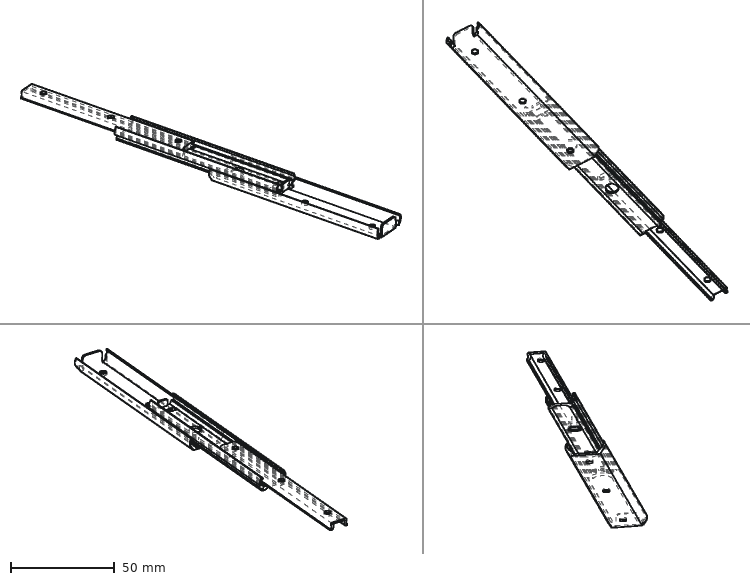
import cadquery as cq


SHEET = 1.0
HOLE_DIAMETER = 3.2
HOLE_PITCH = 40.0
HOLE_END_OFFSET = 10.0
CUT_DEPTH = 21.5

SLIDE_LENGTH = 215.5
INNER_LENGTH = 96.0
MIDDLE_START = 57.5
MIDDLE_LENGTH = 96.5
MIDDLE_END = MIDDLE_START + MIDDLE_LENGTH
OUTER_LENGTH = 100.2
OUTER_START = SLIDE_LENGTH - OUTER_LENGTH
OUTER_HOLE_START = OUTER_START + HOLE_END_OFFSET
HOLES_PER_RAIL = 3
INNER_HOLE_END = HOLE_END_OFFSET + (HOLES_PER_RAIL - 1) * HOLE_PITCH

OUTER_WEB_TOP = SHEET
MIDDLE_WEB_TOP = 5.0
MIDDLE_WEB_BOTTOM = MIDDLE_WEB_TOP - SHEET
SLIDE_HEIGHT = 10.1
INNER_WEB_BOTTOM = SLIDE_HEIGHT - SHEET

WEB_FLAT_Y = 3.7
INNER_FOOT_Y = 5.0
INNER_FOOT_BOTTOM = 6.0
MIDDLE_ARM_Y = 7.5
MIDDLE_FOOT_Y = 6.2
MIDDLE_FOOT_BOTTOM = 2.8

INNER_LIP_WIDTH = 6.5
INNER_LIP_BOTTOM = 7.3

OUTER_WIDTH = 19.5

OUTER_TAB_WIDTH = 11.2
OUTER_TAB_TOP = 7.3
OUTER_TAB_CORNER = 1.7
BEND_RADIUS = 0.5
RELIEF_LENGTH = SHEET + BEND_RADIUS
RELIEF_WIDTH = 16.0

STOP_TAB_WIDTH = 5.2
STOP_TAB_TOP = 8.5
STOP_TAB_CORNER = 0.6

DETENT_START = 147.3
DETENT_LENGTH = 2.4
GROOVE_INNER_Y = 0.5
GROOVE_VALLEY_Y = 2.4
GROOVE_OUTER_Y = 4.0
GROOVE_DEPTH = 0.6

ACCESS_DIAMETER = 6.2


def extrude_symmetric(half_section, start, length):
    """Extrude a half section (Y >= 0, closed along Y = 0) along X and mirror it."""
    half = half_section.close().extrude(length)
    return half.union(half.mirror("XZ")).translate((start, 0, 0))


def cut_holes(body, places, diameter):
    """Cut vertical round holes at the given X places on the centreline."""
    tools = (
        cq.Workplane("XY", origin=(0, 0, -CUT_DEPTH / 2))
        .pushPoints([(x, 0) for x in places])
        .circle(diameter / 2)
        .extrude(CUT_DEPTH)
    )
    return body.cut(tools)


def upright_tab(end, width, bottom, top, corner):
    """Upright sheet tab with rounded top corners whose outer face is at X = end."""
    return (
        cq.Workplane("XY")
        .box(SHEET, width, top - bottom, centered=(False, True, False))
        .translate((end - SHEET, 0, bottom))
        .edges("|X and >Z")
        .fillet(corner)
    )


def make_inner_rail():
    """Inverted channel whose flanges carry an outer ball groove above a flared foot."""
    section = (
        cq.Workplane("YZ")
        .moveTo(0, SLIDE_HEIGHT)
        .lineTo(WEB_FLAT_Y, SLIDE_HEIGHT)
        .threePointArc((4.5, 9.59), (4.5, 8.72))
        .tangentArcPoint((INNER_FOOT_Y, 6.7), relative=False)
        .lineTo(INNER_FOOT_Y, INNER_FOOT_BOTTOM)
        .lineTo(3.9, INNER_FOOT_BOTTOM)
        .threePointArc((3.0, 8.0), (3.5, INNER_WEB_BOTTOM))
        .lineTo(0, INNER_WEB_BOTTOM)
    )
    rail = extrude_symmetric(section, 0, INNER_LENGTH)
    holes = [HOLE_END_OFFSET + i * HOLE_PITCH for i in range(HOLES_PER_RAIL)]
    rail = cut_holes(rail, holes, HOLE_DIAMETER)
    end_lip = (
        cq.Workplane("XY")
        .box(SHEET, INNER_LIP_WIDTH, SLIDE_HEIGHT - INNER_LIP_BOTTOM, centered=(False, True, False))
        .translate((INNER_LENGTH - SHEET, 0, INNER_LIP_BOTTOM))
    )
    return rail.union(end_lip)


def make_detent_grooves():
    """Pair of V grooves, one on each side of the centreline, to cut from the middle web."""
    section = (
        cq.Workplane("YZ")
        .moveTo(GROOVE_INNER_Y, MIDDLE_WEB_TOP)
        .lineTo(GROOVE_VALLEY_Y, MIDDLE_WEB_TOP - GROOVE_DEPTH)
        .lineTo(GROOVE_OUTER_Y, MIDDLE_WEB_TOP)
    )
    return extrude_symmetric(section, DETENT_START, DETENT_LENGTH)


def make_middle_rail():
    """X-shaped rail: raised arms hold the inner rail, lower flanges run in the outer rail."""
    section = (
        cq.Workplane("YZ")
        .moveTo(0, MIDDLE_WEB_TOP)
        .lineTo(WEB_FLAT_Y, MIDDLE_WEB_TOP)
        .lineTo(4.5, 4.7)
        .lineTo(5.4, 6.7)
        .lineTo(6.5, 6.7)
        .threePointArc((7.0, 7.8), (6.2, 8.8))
        .lineTo(5.5, 9.5)
        .lineTo(6.2, SLIDE_HEIGHT)
        .lineTo(6.7, SLIDE_HEIGHT)
        .lineTo(7.0, 9.5)
        .threePointArc((MIDDLE_ARM_Y, 8.0), (7.3, 6.0))
        .lineTo(6.0, 5.8)
        .threePointArc((5.4, 4.5), (MIDDLE_FOOT_Y, 3.7))
        .lineTo(MIDDLE_FOOT_Y, MIDDLE_FOOT_BOTTOM)
        .lineTo(4.3, MIDDLE_FOOT_BOTTOM)
        .threePointArc((3.5, 3.5), (2.2, MIDDLE_WEB_BOTTOM))
        .lineTo(0, MIDDLE_WEB_BOTTOM)
    )
    rail = extrude_symmetric(section, MIDDLE_START, MIDDLE_LENGTH)
    rail = cut_holes(rail, [INNER_HOLE_END, OUTER_HOLE_START], ACCESS_DIAMETER)
    rail = rail.cut(make_detent_grooves())
    stop = upright_tab(MIDDLE_END, STOP_TAB_WIDTH, MIDDLE_WEB_BOTTOM, STOP_TAB_TOP, STOP_TAB_CORNER)
    return rail.union(stop)


def make_outer_tab():
    """Tab bent up from the end of the outer web with a rounded bend."""
    bend_start = SLIDE_LENGTH - RELIEF_LENGTH
    profile = (
        cq.Workplane("XZ", origin=(0, OUTER_TAB_WIDTH / 2, 0))
        .moveTo(bend_start, 0)
        .lineTo(bend_start, OUTER_WEB_TOP)
        .radiusArc((SLIDE_LENGTH - SHEET, RELIEF_LENGTH), -BEND_RADIUS)
        .lineTo(SLIDE_LENGTH - SHEET, OUTER_TAB_TOP)
        .lineTo(SLIDE_LENGTH, OUTER_TAB_TOP)
        .lineTo(SLIDE_LENGTH, RELIEF_LENGTH)
        .radiusArc((bend_start, 0), RELIEF_LENGTH)
        .close()
        .extrude(OUTER_TAB_WIDTH)
    )
    return profile.edges("|X and >Z").fillet(OUTER_TAB_CORNER)


def make_outer_rail():
    """Channel with sloped, inward-curled walls, screw holes and an end tab."""
    section = (
        cq.Workplane("YZ")
        .lineTo(7.5, 0)
        .lineTo(7.8, 0.6)
        .lineTo(9.3, 2.8)
        .threePointArc((OUTER_WIDTH / 2, 4.7), (8.8, 7.0))
        .lineTo(8.5, 6.2)
        .threePointArc((8.8, 4.7), (8.2, 3.7))
        .lineTo(6.5, 2.0)
        .lineTo(5.8, OUTER_WEB_TOP)
        .lineTo(0, OUTER_WEB_TOP)
    )
    rail = extrude_symmetric(section, OUTER_START, OUTER_LENGTH)
    holes = [OUTER_HOLE_START + i * HOLE_PITCH for i in range(HOLES_PER_RAIL)]
    rail = cut_holes(rail, holes, HOLE_DIAMETER)
    relief = (
        cq.Workplane("XY")
        .box(RELIEF_LENGTH, RELIEF_WIDTH, SLIDE_HEIGHT, centered=(False, True, False))
        .translate((SLIDE_LENGTH - RELIEF_LENGTH, 0, 0))
    )
    return rail.cut(relief).union(make_outer_tab())


inner_rail = make_inner_rail().solids()
middle_rail = make_middle_rail().solids()
outer_rail = make_outer_rail().solids()

result = cq.Compound.makeCompound([inner_rail.val(), middle_rail.val(), outer_rail.val()])